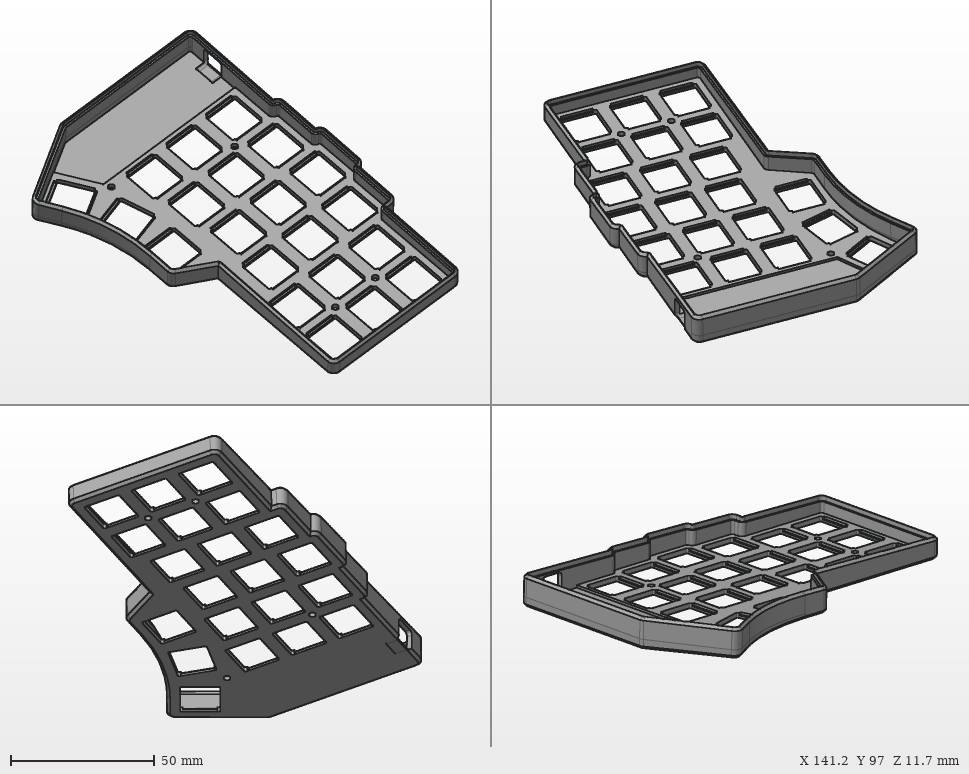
import cadquery as cq
import math

OVERALL_LENGTH = 141.2
OVERALL_HEIGHT = 11.7
TILT = 1.5
SIN_TILT = math.sin(math.radians(TILT))
COS_TILT = math.cos(math.radians(TILT))
FOOT_HEIGHT = 3.8

WALL = 2.0
CHAMFER = 1.1
LEDGE_DROP = 2.0
CORNER_RADIUS = 3.0
LEDGE_INSET = CHAMFER

SHELL_HEIGHT = (OVERALL_HEIGHT - FOOT_HEIGHT + CHAMFER * SIN_TILT) / COS_TILT
LENGTH = (OVERALL_LENGTH - (SHELL_HEIGHT - CHAMFER) * SIN_TILT) / COS_TILT

BACK = 97.0
STAGGER = 2.4
FRONT = 28.8
SIDE_END = 30.1
THUMB_ANGLE = 30.0
THUMB_SIDE = 36.0
THUMB_EDGE = 11.5
THUMB_ARC_RADIUS = 70.0
SLANT_TOP_X = 82.2
SIN_THUMB = math.sin(math.radians(THUMB_ANGLE))
COS_THUMB = math.cos(math.radians(THUMB_ANGLE))
TAN_THUMB = math.tan(math.radians(THUMB_ANGLE))

BACK_STEPS = [42.1, 61.1, 83.9, 103.0]
BACK_DROPS = [2, 1, 0, 1, 3]

PLATE = 2.0
KEY_SIZE = 14.0
KEY_CORNER_RADIUS = 0.5
CLIP_SPAN = 15.8
CLIP_LENGTH = 12.0
CLIP_DEPTH = 1.0
KEY_PITCH = 18.9
KEY_ROWS = 3
FIRST_KEY = (34.6, 80.6)
COLUMN_SHIFTS = [0, 1, 2, 1, -1, -1]
THUMB_KEYS = [(62.7, 25.4, 0), (42.0, 22.9, THUMB_ANGLE / 2), (21.9, 14.5, THUMB_ANGLE)]

SCREW_DIAMETER = 2.4
SCREW_PLACES = [(43.9, 72.3), (27.7, 28.7), (119.7, 68.8), (119.7, 49.7)]

POCKET_DEPTH = 1.0
POCKET_X = 25.0
POCKET_CORNER_Y = 27.4
SOCKET_X = 13.4
SOCKET_WIDTH = 9.0
SOCKET_HEIGHT = 8.3
SOCKET_RADIUS = 1.4
SOCKET_REACH = 6.0
SOCKET_SINK = 0.7


def tilted_plane(level):
    """Plane parallel to the rim, at a distance above the place where foot and shell meet."""
    origin = (level * SIN_TILT, 0, FOOT_HEIGHT + level * COS_TILT)
    return cq.Plane(origin, (COS_TILT, 0, -SIN_TILT), (SIN_TILT, 0, COS_TILT))


def sharp_outline(plane):
    thumb_x = THUMB_SIDE * SIN_THUMB
    thumb_y = SIDE_END - THUMB_SIDE * COS_THUMB
    arc_x = thumb_x + THUMB_EDGE * COS_THUMB
    arc_y = thumb_y + THUMB_EDGE * SIN_THUMB
    arc_end_x = arc_x + THUMB_ARC_RADIUS * SIN_THUMB
    arc_end_y = arc_y + THUMB_ARC_RADIUS * (1 - COS_THUMB)
    half = math.radians(THUMB_ANGLE / 2)
    arc_middle = (
        arc_end_x - THUMB_ARC_RADIUS * math.sin(half),
        arc_end_y - THUMB_ARC_RADIUS * (1 - math.cos(half)),
    )

    outline = cq.Workplane(plane).moveTo(0, SIDE_END)
    left = 0
    for right, drop in zip(BACK_STEPS + [LENGTH], BACK_DROPS):
        edge_y = BACK - drop * STAGGER
        outline = outline.lineTo(left, edge_y).lineTo(right, edge_y)
        left = right
    return (
        outline.lineTo(LENGTH, FRONT)
        .lineTo(SLANT_TOP_X, FRONT)
        .lineTo(SLANT_TOP_X - (FRONT - arc_end_y) * TAN_THUMB, arc_end_y)
        .lineTo(arc_end_x, arc_end_y)
        .threePointArc(arc_middle, (arc_x, arc_y))
        .lineTo(thumb_x, thumb_y)
        .close()
    )


def inset_outline(inset, level):
    """Outline with rounded outer corners, moved inward by an even wall thickness."""
    core = sharp_outline(tilted_plane(level)).offset2D(-CORNER_RADIUS, "intersection")
    outer = core.offset2D(CORNER_RADIUS)
    if inset == 0:
        return outer
    return outer.offset2D(-inset)


def space_above(bottom):
    space = cq.Workplane().box(3 * LENGTH, 3 * BACK, 2 * OVERALL_HEIGHT, centered=(True, True, False))
    return space.translate((0, 0, bottom))


def upright_foot(inset, bottom):
    """From the tilted meeting plane straight down to a level bottom."""
    top = cq.Face.makeFromWires(inset_outline(inset, 0).val())
    column = cq.Workplane(cq.Solid.extrudeLinear(top, cq.Vector(0, 0, -OVERALL_HEIGHT)))
    return column.intersect(space_above(bottom))


def outer_body():
    up = cq.Vector(SIN_TILT, 0, COS_TILT)
    shell = inset_outline(0, 0).extrude(SHELL_HEIGHT)
    shell = shell.faces(cq.DirectionMinMaxSelector(up)).chamfer(CHAMFER)
    return shell.union(upright_foot(0, 0)).faces("<Z").chamfer(CHAMFER)


def cavity():
    room = inset_outline(WALL, 0).extrude(SHELL_HEIGHT).intersect(space_above(PLATE))
    room = room.union(upright_foot(WALL, PLATE))
    ledge = inset_outline(LEDGE_INSET, SHELL_HEIGHT - LEDGE_DROP).extrude(LEDGE_DROP)
    return room.union(ledge)


def key_opening(x, y, angle):
    hole = cq.Workplane().rect(KEY_SIZE, KEY_SIZE).extrude(PLATE).edges("|Z").fillet(KEY_CORNER_RADIUS)
    clips = cq.Workplane().workplane(offset=PLATE - CLIP_DEPTH).rect(CLIP_SPAN, CLIP_LENGTH).extrude(CLIP_DEPTH)
    return hole.union(clips).rotate((0, 0, 0), (0, 0, 1), angle).translate((x, y, 0))


def key_places():
    places = list(THUMB_KEYS)
    for column, shift in enumerate(COLUMN_SHIFTS):
        for row in range(KEY_ROWS):
            x = FIRST_KEY[0] + column * KEY_PITCH
            y = FIRST_KEY[1] + shift * STAGGER - row * KEY_PITCH
            places.append((x, y, 0))
    return places


def pocket():
    corners = [
        (0, POCKET_CORNER_Y - POCKET_X * TAN_THUMB),
        (POCKET_X, POCKET_CORNER_Y),
        (POCKET_X, BACK),
        (0, BACK),
    ]
    area = cq.Workplane().workplane(offset=PLATE - POCKET_DEPTH).polyline(corners).close().extrude(POCKET_DEPTH)
    return area.intersect(upright_foot(WALL, 0))


def socket():
    outer_y = BACK - BACK_DROPS[0] * STAGGER
    bottom = PLATE - POCKET_DEPTH - SOCKET_SINK
    opening = cq.Workplane().box(SOCKET_WIDTH, 2 * SOCKET_REACH, SOCKET_HEIGHT, centered=(True, True, False))
    return opening.edges("|Y").fillet(SOCKET_RADIUS).translate((SOCKET_X, outer_y, bottom))


result = outer_body().cut(cavity()).cut(pocket()).cut(socket())
for place in key_places():
    result = result.cut(key_opening(*place))
screw_holes = cq.Workplane().pushPoints(SCREW_PLACES).circle(SCREW_DIAMETER / 2).extrude(PLATE)
result = result.cut(screw_holes)